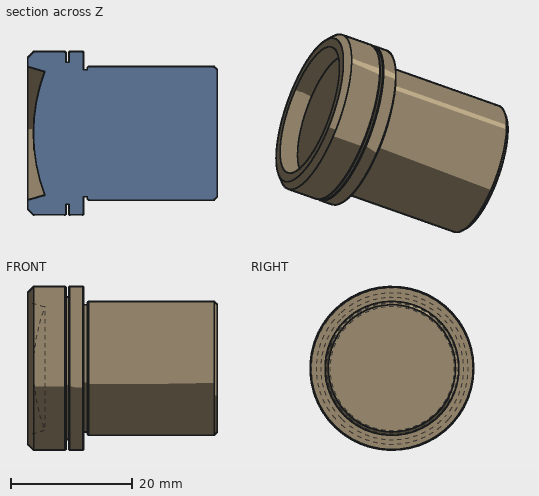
import cadquery as cq

total_length = 31.28
head_radius = 13.497
barrel_radius = 11.05

head_end = 6.35
flange_start = 6.8
flange_end = 9.23
barrel_start = 9.82

front_chamfer = 1.0
head_rear_chamfer = 0.2
flange_chamfer = 0.13
barrel_chamfer = 0.22
rear_chamfer = 0.55

head_neck_radius = 11.75
barrel_neck_radius = 10.5

recess_mouth_radius = 10.98
recess_floor_radius = 10.23
cone_depth = 2.55
recess_depth = 2.8
lens_height = 1.88


def disc(start, end, radius, front_break=0.0, rear_break=0.0):
    """Disc on the X axis with optional 45 degree chamfers on its two rims."""
    body = cq.Workplane("YZ").workplane(offset=start).circle(radius).extrude(end - start)
    if front_break > 0:
        body = body.faces("<X").edges().chamfer(front_break)
    if rear_break > 0:
        body = body.faces(">X").edges().chamfer(rear_break)
    return body


def front_recess():
    """Volume removed at the front: a cone, a land, and a floor domed towards the front."""
    apex = recess_depth - lens_height
    lens_radius = (recess_floor_radius**2 + lens_height**2) / (2 * lens_height)
    mid_radius = recess_floor_radius / 2
    mid_x = apex + lens_radius - (lens_radius**2 - mid_radius**2) ** 0.5
    return (
        cq.Workplane("XY")
        .moveTo(0, 0)
        .lineTo(0, recess_mouth_radius)
        .lineTo(cone_depth, recess_floor_radius)
        .lineTo(recess_depth, recess_floor_radius)
        .threePointArc((mid_x, mid_radius), (apex, 0))
        .close()
        .revolve(360, (0, 0, 0), (1, 0, 0))
    )


head = disc(0, head_end, head_radius, front_chamfer, head_rear_chamfer)
head_neck = disc(head_end, flange_start, head_neck_radius)
flange = disc(flange_start, flange_end, head_radius, flange_chamfer, flange_chamfer)
barrel_neck = disc(flange_end, barrel_start, barrel_neck_radius)
barrel = disc(barrel_start, total_length, barrel_radius, barrel_chamfer, rear_chamfer)

body = head.union(head_neck).union(flange).union(barrel_neck).union(barrel)
result = body.cut(front_recess())